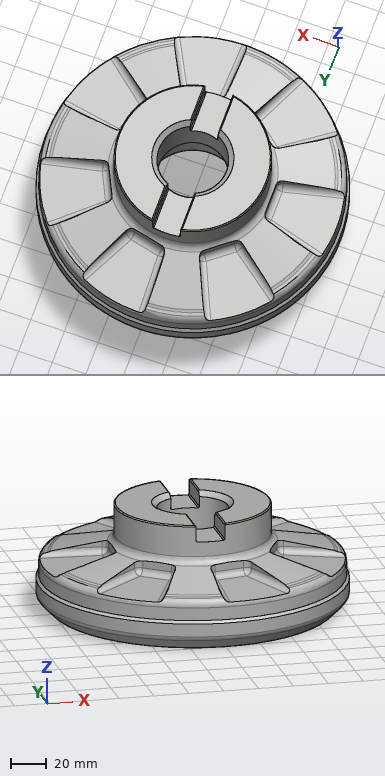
import cadquery as cq
import math

wheel_diameter = 175.2
wheel_height = 17.7
wheel_bottom_chamfer = 7.2
wheel_bottom_round = 3.5
wheel_top_chamfer = 1.5

total_height = 59.9
flange_diameter = 172.0
hub_diameter = 88.0
round_base_z = 25.0
round_top_radius = 83.0
round_top_z = 29.6
step_radius = 81.1
step_z = 30.0
cone_end_radius = 79.5
cone_end_z = 30.7
cone_root_z = 38.2
hub_root_fillet = 4.5
hub_top_chamfer = 0.7

bore_diameter = 40.0
bore_chamfer = 3.0
counterbore_diameter = 56.0
counterbore_depth = 32.4

slot_width = 16.5
slot_depth = 9.6
slot_edge = 0.7

pocket_count = 7
pocket_inner_radius = 46.2
pocket_inner_half_width = 11.9
pocket_side_angle = 14.6
pocket_inner_floor_z = 29.8
pocket_floor_angle = 3.4
pocket_fillet = 3.9
first_pocket_angle = 180.0

flange_radius = flange_diameter / 2
hub_radius = hub_diameter / 2
select_margin = 0.2


def circles_at(z, reach):
    """Selector for edges lying wholly at height z, within reach of the axis."""
    return cq.selectors.BoxSelector(
        (-reach, -reach, z - select_margin),
        (reach, reach, z + select_margin),
        boundingbox=True,
    )


def make_wheel():
    """Lower disc: bevelled top and bottom rims, with a clearance hole."""
    wheel = cq.Workplane("XY").circle(wheel_diameter / 2).extrude(wheel_height)
    wheel = wheel.faces("<Z").chamfer(wheel_bottom_chamfer)
    bevel_corner = circles_at(wheel_bottom_chamfer, wheel_diameter)
    wheel = wheel.edges(bevel_corner).fillet(wheel_bottom_round)
    wheel = wheel.faces(">Z").edges().chamfer(wheel_top_chamfer)
    return wheel.faces("<Z").workplane().circle(counterbore_diameter / 2).cutThruAll()


def flange_blank():
    """Revolved flange and hub: conical upper face, rounded shoulder, filleted hub root."""
    round_width = flange_radius - round_top_radius
    round_height = round_top_z - round_base_z
    round_radius = (round_width**2 + round_height**2) / (2 * round_width)
    half_sweep = math.asin(round_height / round_radius) / 2
    round_middle = (
        flange_radius - round_radius * (1 - math.cos(half_sweep)),
        round_base_z + round_radius * math.sin(half_sweep),
    )
    blank = (
        cq.Workplane("XZ")
        .moveTo(0, wheel_height)
        .lineTo(flange_radius, wheel_height)
        .lineTo(flange_radius, round_base_z)
        .threePointArc(round_middle, (round_top_radius, round_top_z))
        .lineTo(step_radius, step_z)
        .lineTo(cone_end_radius, cone_end_z)
        .lineTo(hub_radius, cone_root_z)
        .lineTo(hub_radius, total_height)
        .lineTo(0, total_height)
        .close()
        .revolve(360, (0, 0, 0), (0, 1, 0))
    )
    blank = blank.faces(">Z").edges().chamfer(hub_top_chamfer)
    hub_root = circles_at(cone_root_z, hub_diameter)
    return blank.edges(hub_root).fillet(hub_root_fillet)


def bore_cutter():
    """Through bore, chamfered at the hub face, with a counterbore from below."""
    bore = cq.Workplane("XY").circle(bore_diameter / 2).extrude(total_height)
    counterbore = cq.Workplane("XY").circle(counterbore_diameter / 2).extrude(counterbore_depth)
    countersink = cq.Workplane("XY").add(
        cq.Solid.makeCone(
            bore_diameter / 2,
            bore_diameter / 2 + bore_chamfer,
            bore_chamfer,
            cq.Vector(0, 0, total_height - bore_chamfer),
        )
    )
    return bore.union(counterbore).union(countersink)


def slot_cutter():
    """Drive slot along Y, with bevelled floor corners and mouth edges."""
    half = slot_width / 2
    floor_z = total_height - slot_depth
    return (
        cq.Workplane("XZ")
        .moveTo(-half + slot_edge, floor_z)
        .lineTo(half - slot_edge, floor_z)
        .lineTo(half, floor_z + slot_edge)
        .lineTo(half, total_height - slot_edge)
        .lineTo(half + slot_edge, total_height)
        .lineTo(-half - slot_edge, total_height)
        .lineTo(-half, total_height - slot_edge)
        .lineTo(-half, floor_z + slot_edge)
        .close()
        .extrude(hub_diameter, both=True)
    )


def pocket_cutter():
    """Pocket along +X: widening outward, floor falling outward, inner edges filleted."""
    outer_radius = wheel_diameter / 2 + pocket_fillet
    length = outer_radius - pocket_inner_radius
    outer_half_width = pocket_inner_half_width + length * math.tan(math.radians(pocket_side_angle))
    outer_floor_z = pocket_inner_floor_z - length * math.tan(math.radians(pocket_floor_angle))
    plan = (
        cq.Workplane("XY")
        .moveTo(pocket_inner_radius, -pocket_inner_half_width)
        .lineTo(outer_radius, -outer_half_width)
        .lineTo(outer_radius, outer_half_width)
        .lineTo(pocket_inner_radius, pocket_inner_half_width)
        .close()
        .extrude(total_height)
    )
    side = (
        cq.Workplane("XZ")
        .moveTo(pocket_inner_radius, pocket_inner_floor_z)
        .lineTo(outer_radius, outer_floor_z)
        .lineTo(outer_radius, total_height)
        .lineTo(pocket_inner_radius, total_height)
        .close()
        .extrude(wheel_diameter, both=True)
    )
    cutter = plan.intersect(side)
    wall_corners = cutter.faces("<X").edges("|Z")
    cutter = wall_corners.fillet(pocket_fillet)
    return cutter.faces("<Z").edges("not >X").fillet(pocket_fillet)


def make_flange():
    flange = flange_blank().cut(bore_cutter()).cut(slot_cutter())
    pocket = pocket_cutter()
    for i in range(pocket_count):
        angle = first_pocket_angle + i * 360 / pocket_count
        flange = flange.cut(pocket.rotate((0, 0, 0), (0, 0, 1), angle))
    return flange


wheel = make_wheel()
flange = make_flange()
result = cq.Compound.makeCompound([wheel.val(), flange.val()])